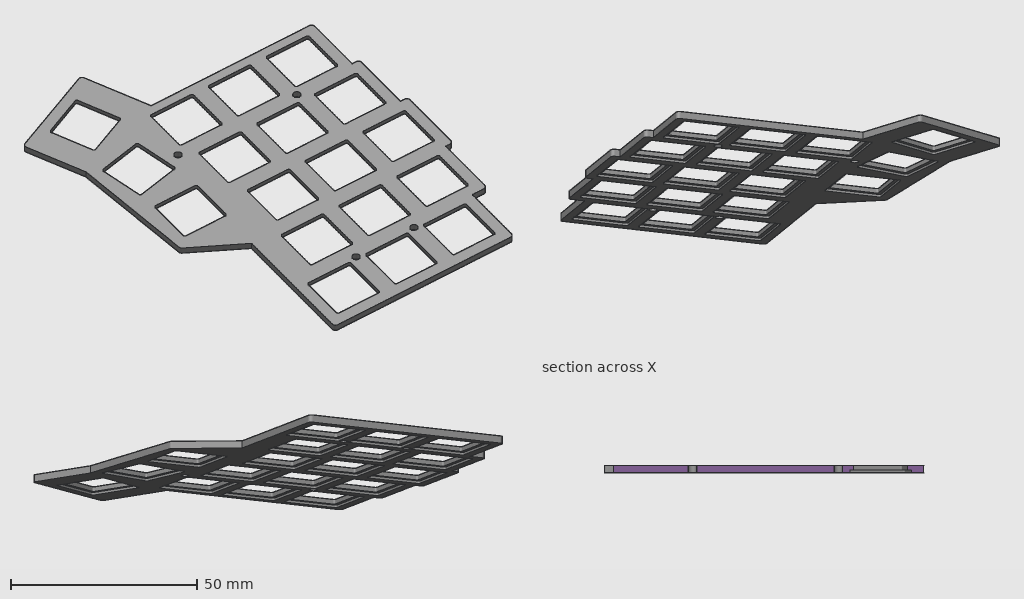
import cadquery as cq
import math

THICKNESS = 2.0
KEY_PITCH = 19.05
CUTOUT_SIZE = 14.0
CUTOUT_RADIUS = 0.5
LIP_THICKNESS = 1.3
RELIEF_OFFSET = 1.0
OUTLINE_RADIUS = 1.0
SCREW_DIAMETER = 2.2

COLUMN_COUNT = 5
ROW_COUNT = 3
STAGGER_UNIT = KEY_PITCH / 8
COLUMN_DROPS = [2 * STAGGER_UNIT, STAGGER_UNIT, 0.0, STAGGER_UNIT, 3 * STAGGER_UNIT]
FIRST_COLUMN_X = -28.615
HIGHEST_KEY_Y = 36.76

KEY_MARGIN = 10.45
LEFT_MARGIN = 9.8

THUMB_KEYS = [(-42.67, -29.38, 24.0), (-20.82, -27.3, 12.0), (0.03, -25.1, 0.0)]
THUMB_HALF_LENGTH = 15.23
OUTER_THUMB_MARGIN = 10.43

LEFT_NOTCH_Y = -10.72

LOWER_BEND = (-28.2, -39.5)
LOWER_CORNER = (9.97, -35.57)
LOWER_RISE_ANGLE = 60.0

SCREW_CENTRES = [(-19.13, 23.56), (-19.13, -15.6), (39.98, 20.08), (39.98, 1.03)]


def column_x(column):
    return FIRST_COLUMN_X + column * KEY_PITCH


def key_y(column, row):
    return HIGHEST_KEY_Y - COLUMN_DROPS[column] - row * KEY_PITCH


def thumb_point(along, across):
    """Point given in the rotated frame of the outer thumb key."""
    x, y, angle = THUMB_KEYS[0]
    cos_a = math.cos(math.radians(angle))
    sin_a = math.sin(math.radians(angle))
    return (x + along * cos_a - across * sin_a, y + along * sin_a + across * cos_a)


def top_edge(column):
    return key_y(column, 0) + KEY_MARGIN


def round_corners(plate, corners, radius):
    edges = []
    for x, y in corners:
        nearest = cq.selectors.NearestToPointSelector((x, y, THICKNESS / 2))
        edges += plate.edges("|Z").edges(nearest).vals()
    return plate.newObject(edges).fillet(radius)


def make_plate():
    left = column_x(0) - LEFT_MARGIN
    right = column_x(COLUMN_COUNT - 1) + KEY_MARGIN
    bottom = key_y(COLUMN_COUNT - 1, ROW_COUNT - 1) - KEY_MARGIN
    thumb_top = thumb_point(-OUTER_THUMB_MARGIN, THUMB_HALF_LENGTH)
    thumb_bottom = thumb_point(-OUTER_THUMB_MARGIN, -THUMB_HALF_LENGTH)

    left_notch = (left, LEFT_NOTCH_Y)
    rise_run = (bottom - LOWER_CORNER[1]) / math.tan(math.radians(LOWER_RISE_ANGLE))
    right_notch = (LOWER_CORNER[0] + rise_run, bottom)

    step_1 = column_x(1) - KEY_MARGIN
    step_2 = column_x(2) - KEY_MARGIN
    step_3 = column_x(2) + KEY_MARGIN
    step_4 = column_x(3) + KEY_MARGIN

    rounded_corners = [
        (left, top_edge(0)),
        (step_1, top_edge(1)),
        (step_2, top_edge(2)),
        (step_3, top_edge(2)),
        (step_4, top_edge(3)),
        (right, top_edge(4)),
        (right, bottom),
        LOWER_CORNER,
        thumb_bottom,
        thumb_top,
    ]
    outline = [
        (left, top_edge(0)),
        (step_1, top_edge(0)),
        (step_1, top_edge(1)),
        (step_2, top_edge(1)),
        (step_2, top_edge(2)),
        (step_3, top_edge(2)),
        (step_3, top_edge(3)),
        (step_4, top_edge(3)),
        (step_4, top_edge(4)),
        (right, top_edge(4)),
        (right, bottom),
        right_notch,
        LOWER_CORNER,
        LOWER_BEND,
        thumb_bottom,
        thumb_top,
        left_notch,
    ]
    plate = cq.Workplane("XY").polyline(outline).close().extrude(THICKNESS)
    return round_corners(plate, rounded_corners, OUTLINE_RADIUS)


def rounded_square(size, height):
    block = cq.Workplane("XY").rect(size, size).extrude(height)
    return block.edges("|Z").fillet(CUTOUT_RADIUS)


def key_cutout(x, y, angle):
    relief_size = CUTOUT_SIZE + 2 * RELIEF_OFFSET
    relief = rounded_square(relief_size, THICKNESS - LIP_THICKNESS)
    cutout = rounded_square(CUTOUT_SIZE, THICKNESS).union(relief)
    return cutout.rotate((0, 0, 0), (0, 0, 1), angle).translate((x, y, 0))


def cut_keys(plate):
    for column in range(COLUMN_COUNT):
        for row in range(ROW_COUNT):
            plate = plate.cut(key_cutout(column_x(column), key_y(column, row), 0.0))
    for x, y, angle in THUMB_KEYS:
        plate = plate.cut(key_cutout(x, y, angle))
    return plate


def cut_screw_holes(plate):
    holes = cq.Workplane("XY").pushPoints(SCREW_CENTRES).circle(SCREW_DIAMETER / 2)
    return plate.cut(holes.extrude(THICKNESS))


result = cut_screw_holes(cut_keys(make_plate()))